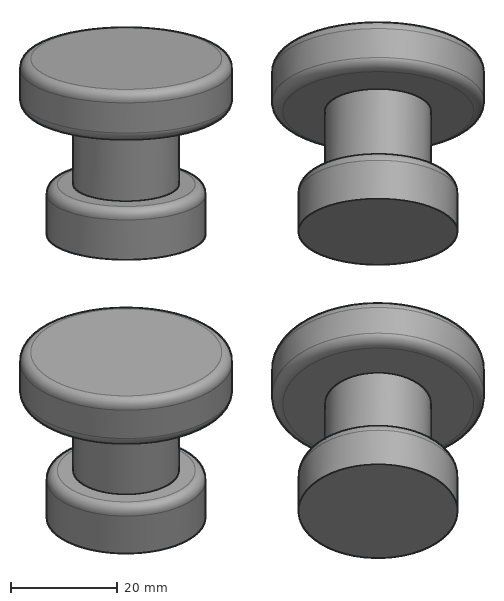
import cadquery as cq

head_diameter = 40.0
neck_diameter = 20.0
base_diameter = 30.0
total_height = 35.0
disc_thickness = 10.0
edge_radius = 2.0

neck_height = total_height - 2 * disc_thickness


def disc(diameter, height, bottom_z):
    """Upright cylinder on the Z axis, standing on bottom_z."""
    return cq.Workplane("XY").workplane(offset=bottom_z).circle(diameter / 2).extrude(height)


base = disc(base_diameter, disc_thickness, 0).faces(">Z").edges().fillet(edge_radius)

neck = disc(neck_diameter, neck_height, disc_thickness)

head = disc(head_diameter, disc_thickness, disc_thickness + neck_height)
head = head.faces("<Z or >Z").edges().fillet(edge_radius)

result = base.union(neck).union(head)